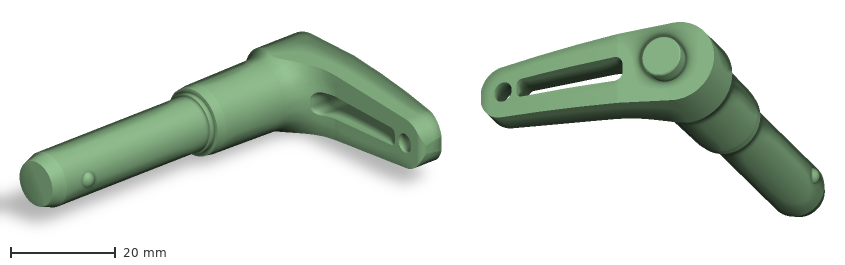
import cadquery as cq
import math

total_length = 77.5
shank_radius = 5.54
tip_radius = 4.6
tip_height = 2.9
collar_radius = 6.0
collar_start = 40.3
grip_start = 41.4
grip_start_radius = 6.8
grip_shoulder = 43.45
grip_shoulder_radius = 7.05
grip_end = 59.0
grip_end_radius = 7.3
flare_radius = 6.7
flare_outer_radius = grip_end_radius + flare_radius
flare_top = grip_end + flare_radius
button_radius = 3.95
button_chamfer = 0.2

ball_radius = 1.6
ball_reach = 6.5
ball_y = 8.45

head_radius = 7.94
head_x = -1.59
end_radius = 5.1
end_x = 34.9
plan_left = head_x - head_radius
plan_right = end_x + end_radius

head_top = 74.0
crown_x = 10.1
crown_y = 74.2
back_middle = (22.15, 72.75)
nose_top_x = 39.75
nose_top_y = 69.0
nose_bottom_y = 63.6
nose_rounding = 1.25

slot_left = 9.1
slot_right = 31.85
slot_left_half_width = 2.5
slot_right_half_width = 1.8
slot_left_corner = 1.6
slot_right_corner = 1.2
end_hole_radius = 1.9


def prism_along_y(sketch):
    """Extrude an XZ sketch so that it fills y = 0 to the total length."""
    return sketch.extrude(-total_length)


def turned_pin():
    """Shank, collar, grip and the flare that widens into the handle."""
    blend = flare_radius * math.sqrt(0.5)
    return (
        cq.Workplane("XY")
        .moveTo(0, 0)
        .lineTo(tip_radius, 0)
        .lineTo(shank_radius, tip_height)
        .lineTo(shank_radius, collar_start)
        .lineTo(collar_radius, collar_start)
        .lineTo(collar_radius, grip_start)
        .lineTo(grip_start_radius, grip_start)
        .lineTo(grip_shoulder_radius, grip_shoulder)
        .lineTo(grip_end_radius, grip_end)
        .threePointArc(
            (flare_outer_radius - blend, grip_end + blend),
            (flare_outer_radius, flare_top),
        )
        .lineTo(0, flare_top)
        .close()
        .revolve(360, (0, 0, 0), (0, 1, 0))
    )


def handle_plan():
    """Rounded, tapering handle outline seen along the pin axis."""
    lean = (head_radius - end_radius) / (end_x - head_x)
    rise = math.sqrt(1 - lean**2)
    head_tangent = (head_x + head_radius * lean, head_radius * rise)
    end_tangent = (end_x + end_radius * lean, end_radius * rise)
    return prism_along_y(
        cq.Workplane("XZ")
        .moveTo(*head_tangent)
        .lineTo(*end_tangent)
        .threePointArc((plan_right, 0), (end_tangent[0], -end_tangent[1]))
        .lineTo(head_tangent[0], -head_tangent[1])
        .threePointArc((plan_left, 0), head_tangent)
        .close()
    )


def handle_profile():
    """Side shape of the handle with its curved back and rounded nose."""
    return (
        cq.Workplane("XY")
        .moveTo(plan_left, flare_top)
        .lineTo(plan_left, head_top)
        .lineTo(0, head_top)
        .lineTo(crown_x, crown_y)
        .threePointArc(back_middle, (nose_top_x, nose_top_y))
        .lineTo(plan_right, nose_bottom_y)
        .lineTo(flare_outer_radius, flare_top)
        .close()
        .extrude(head_radius, both=True)
        .edges(cq.selectors.NearestToPointSelector((plan_right, nose_bottom_y, 0)))
        .fillet(nose_rounding)
    )


def handle_slot():
    """Tapered through slot with rounded corners."""
    slot = prism_along_y(
        cq.Workplane("XZ").polyline([
            (slot_left, slot_left_half_width),
            (slot_right, slot_right_half_width),
            (slot_right, -slot_right_half_width),
            (slot_left, -slot_left_half_width),
        ]).close()
    )
    slot = slot.faces("<X").edges("|Y").fillet(slot_left_corner)
    return slot.faces(">X").edges("|Y").fillet(slot_right_corner)


def end_hole():
    return prism_along_y(cq.Workplane("XZ").center(end_x, 0).circle(end_hole_radius))


def button():
    return (
        cq.Workplane("XZ", origin=(0, flare_top, 0))
        .circle(button_radius)
        .extrude(flare_top - total_length)
        .faces(">Y")
        .chamfer(button_chamfer)
    )


def locking_ball(side):
    center_x = side * (ball_reach - ball_radius)
    return cq.Workplane("XY").sphere(ball_radius).translate((center_x, ball_y, 0))


result = turned_pin().union(handle_profile()).intersect(handle_plan())
result = result.cut(handle_slot()).cut(end_hole()).union(button())
for ball_side in (-1, 1):
    result = result.union(locking_ball(ball_side))